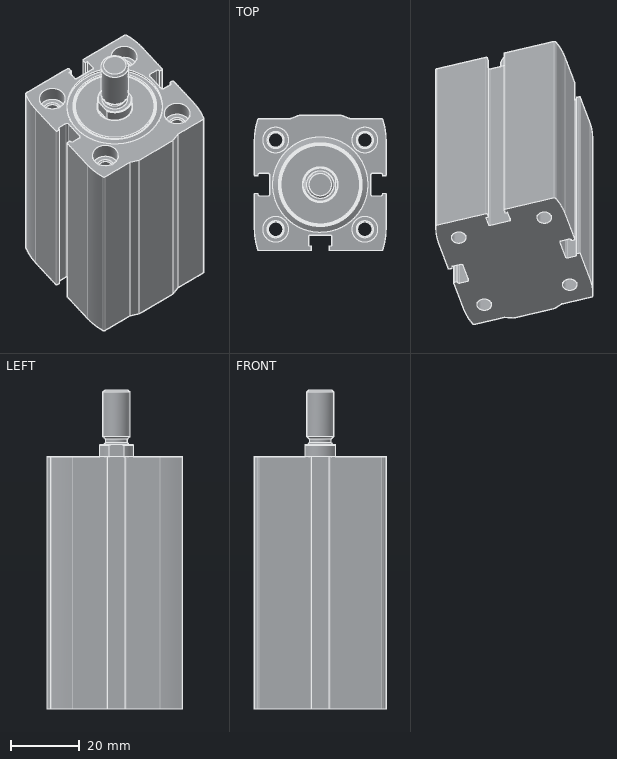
import cadquery as cq

body_width = 38.5
half_width = body_width / 2
body_height = 73.5
side_flat_half = 12.75
corner_inset = 1.1
corner_fillet = 0.5
side_mid_inset = corner_inset / 4

ridge_height = 1.0
ridge_top_width = 12.2
ridge_base_width = 17.4

slot_mouth_width = 5.1
slot_inner_width = 6.6
slot_depth = 4.5
mouth_rounding = 0.3
front_slot_lip = 1.4
front_slot_floor_fillet = 0.3
side_slot_lip = 1.15
side_slot_fillet = 0.5

hole_pitch = 26.0
counterbore_diameter = 7.5
counterbore_depth = 5.2
countersink_diameter = 5.0
hole_diameter = 4.2
countersink_depth = (countersink_diameter - hole_diameter) / 2

cap_rim_diameter = 27.8
cap_bevel_top_diameter = 24.4
cap_bevel_depth = 0.9
ring_groove_inner_diameter = 22.9
ring_groove_depth = 0.4
ring_flank = (cap_bevel_top_diameter - ring_groove_inner_diameter) / 2 / 3

rod_diameter = 10.0
rod_inserted_length = 20.0
rod_clearance_diameter = 10.4
rod_clearance_depth = 0.5
collar_height = 3.5
collar_chamfer = 0.2
wrench_flats_width = 9.0
neck_diameter = 6.4
neck_root_diameter = 7.5
neck_root_height = 0.65
thread_diameter = 8.0
thread_runout = (thread_diameter - neck_diameter) / 2
undercut_length = 2.4
thread_end_diameter = 6.5
thread_end_height = 0.6
overall_height = 93.0

rod_bottom = body_height - rod_inserted_length
collar_top = body_height + collar_height
thread_bottom = collar_top + undercut_length


def turned_solid(profile):
    """Solid turned about Z from (radius, height) points."""
    return (
        cq.Workplane("XZ")
        .polyline(profile)
        .close()
        .revolve(360, (0, 0, 0), (0, 1, 0))
    )


def profile_block():
    """Square block whose X sides curve in towards the corners."""
    corner_x = half_width - corner_inset
    mid_x = half_width - side_mid_inset
    mid_y = (side_flat_half + half_width) / 2
    return (
        cq.Workplane("XY")
        .moveTo(-corner_x, -half_width)
        .lineTo(corner_x, -half_width)
        .threePointArc((mid_x, -mid_y), (half_width, -side_flat_half))
        .lineTo(half_width, side_flat_half)
        .threePointArc((mid_x, mid_y), (corner_x, half_width))
        .lineTo(-corner_x, half_width)
        .threePointArc((-mid_x, mid_y), (-half_width, side_flat_half))
        .lineTo(-half_width, -side_flat_half)
        .threePointArc((-mid_x, -mid_y), (-corner_x, -half_width))
        .close()
        .extrude(body_height)
        .faces("<Y or >Y")
        .edges("|Z")
        .fillet(corner_fillet)
    )


def ridge():
    """Low trapezoidal pad along the +Y side."""
    return (
        cq.Workplane("XY")
        .polyline([
            (-ridge_base_width / 2, half_width),
            (-ridge_top_width / 2, half_width + ridge_height),
            (ridge_top_width / 2, half_width + ridge_height),
            (ridge_base_width / 2, half_width),
        ])
        .close()
        .extrude(body_height)
    )


def slot_mouth():
    """Cutter for a slot opening in the -Y face, flaring out to rounded corners."""
    half_mouth = slot_mouth_width / 2
    flare_x = half_mouth + mouth_rounding
    flare_y = mouth_rounding - half_width
    bottom_y = slot_depth / 2 - half_width
    return (
        cq.Workplane("XY")
        .moveTo(-flare_x, -half_width)
        .radiusArc((-half_mouth, flare_y), -mouth_rounding)
        .lineTo(-half_mouth, bottom_y)
        .lineTo(half_mouth, bottom_y)
        .lineTo(half_mouth, flare_y)
        .radiusArc((flare_x, -half_width), -mouth_rounding)
        .close()
        .extrude(body_height)
    )


def slot_chamber(lip):
    """Cutter for the wide inner part of a slot behind lips of the given thickness."""
    length = slot_depth - lip
    return (
        cq.Workplane("XY")
        .center(0, lip + length / 2 - half_width)
        .rect(slot_inner_width, length)
        .extrude(body_height)
    )


def front_slot():
    chamber = slot_chamber(front_slot_lip).faces(">Y").edges("|Z").fillet(front_slot_floor_fillet)
    return slot_mouth().union(chamber)


def side_slot(angle):
    """Slot with all chamber corners rounded, turned about Z onto an X side."""
    chamber = slot_chamber(side_slot_lip).edges("|Z").fillet(side_slot_fillet)
    return slot_mouth().union(chamber).rotate((0, 0, 0), (0, 0, 1), angle)


def corner_hole():
    """Cutter for one through hole, countersunk below its counterbore."""
    seat = body_height - counterbore_depth
    return turned_solid([
        (0, 0),
        (hole_diameter / 2, 0),
        (hole_diameter / 2, seat - countersink_depth),
        (countersink_diameter / 2, seat),
        (counterbore_diameter / 2, seat),
        (counterbore_diameter / 2, body_height),
        (0, body_height),
    ])


def cap_rim_cutter():
    """Moat with a straight outer wall, leaving the cap's bevel on its inner side."""
    return turned_solid([
        (cap_bevel_top_diameter / 2, body_height),
        (cap_rim_diameter / 2, body_height - cap_bevel_depth),
        (cap_rim_diameter / 2, body_height),
    ])


def ring_groove_cutter():
    """Fine groove with sloping flanks just inside the bevel."""
    floor = body_height - ring_groove_depth
    return turned_solid([
        (cap_bevel_top_diameter / 2, body_height),
        (cap_bevel_top_diameter / 2 - ring_flank, floor),
        (ring_groove_inner_diameter / 2 + ring_flank, floor),
        (ring_groove_inner_diameter / 2, body_height),
    ])


def make_housing():
    body = profile_block().union(ridge())
    body = body.cut(front_slot())
    for angle in (90, -90):
        body = body.cut(side_slot(angle))
    for x in (-hole_pitch / 2, hole_pitch / 2):
        for y in (-hole_pitch / 2, hole_pitch / 2):
            body = body.cut(corner_hole().translate((x, y, 0)))
    body = body.cut(cap_rim_cutter()).cut(ring_groove_cutter())
    rod_hole = (
        cq.Workplane("XY")
        .workplane(offset=rod_bottom)
        .circle(rod_diameter / 2)
        .extrude(rod_inserted_length)
    )
    rod_clearance = (
        cq.Workplane("XY")
        .workplane(offset=body_height - rod_clearance_depth)
        .circle(rod_clearance_diameter / 2)
        .extrude(rod_clearance_depth)
    )
    return body.cut(rod_hole).cut(rod_clearance)


def make_piston_rod():
    """Turned rod with an undercut threaded end and two wrench flats facing X."""
    rod = turned_solid([
        (0, rod_bottom),
        (rod_diameter / 2, rod_bottom),
        (rod_diameter / 2, collar_top - collar_chamfer),
        (rod_diameter / 2 - collar_chamfer, collar_top),
        (neck_root_diameter / 2, collar_top),
        (neck_diameter / 2, collar_top + neck_root_height),
        (neck_diameter / 2, thread_bottom - thread_runout),
        (thread_diameter / 2, thread_bottom),
        (thread_diameter / 2, overall_height - thread_end_height),
        (thread_end_diameter / 2, overall_height),
        (0, overall_height),
    ])
    flats_bottom = body_height - rod_clearance_depth
    flats_height = collar_top - flats_bottom
    for side in (-1, 1):
        flat_cut = (
            cq.Workplane("XY")
            .workplane(offset=flats_bottom)
            .center(side * (wrench_flats_width + rod_diameter) / 2, 0)
            .rect(rod_diameter, rod_diameter)
            .extrude(flats_height)
        )
        rod = rod.cut(flat_cut)
    return rod


housing = make_housing()
piston_rod = make_piston_rod()

result = cq.Compound.makeCompound([housing.val(), piston_rod.val()])